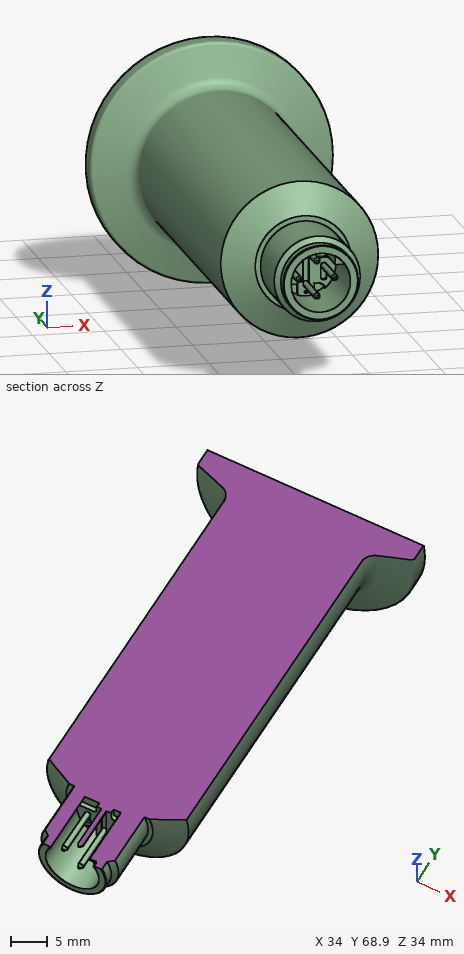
import cadquery as cq
import math

length = 68.9

flange_diameter = 34.0
flange_rim = 2.5
flange_edge_radius = 0.55
flange_back_angle = math.radians(20)
flange_fillet_radius = 2.0

body_diameter = 22.0
shoulder_start = 56.0
shoulder_end = 58.35
shoulder_end_diameter = 13.45

collar_diameter = 12.0
collar_end = 66.7
tip_diameter = 10.5
tip_start = 67.4
tip_chamfer = 0.1

socket_diameter = 8.3
socket_depth = 8.95

pin_count = 4
pin_diameter = 0.8
pin_radius = pin_diameter / 2
pin_tip_diameter = 0.4
pin_taper = 0.4
pin_circle_radius = 2.5
pin_tip_depth = 2.0
pin_embed = 0.7

key_edge = 2.2
key_start_depth = 0.8

pocket_depth = 0.7
floor_bottom = socket_depth + pocket_depth
tongue_width = 2.3
tongue_top = 3.45
tongue_corner_radius = 0.55
lower_pocket_top = -2.4
lower_pocket_outer_x = 2.6
lower_pocket_bevel_width = 0.75
lower_pocket_bevel_height = 0.5
slot_depth = 0.35
center_slot_end = pin_circle_radius + pin_radius
side_slot_bottom = -2.0
vent_diameter = 0.4
vent_z = -3.6


def revolved_body():
    """Solid of revolution about the Y axis, flange face at Y = 0, tip at Y = -length."""
    flange_radius = flange_diameter / 2
    body_radius = body_diameter / 2
    turn = math.pi / 2 - flange_back_angle

    def arc_point(center, radius, angle):
        return (center[0] + radius * math.cos(angle), center[1] - radius * math.sin(angle))

    edge_center = (flange_radius - flange_edge_radius, -flange_rim)
    edge_mid = arc_point(edge_center, flange_edge_radius, turn / 2)
    edge_end = arc_point(edge_center, flange_edge_radius, turn)

    fillet_x = body_radius + flange_fillet_radius
    cone_end_x = fillet_x - flange_fillet_radius * math.cos(turn)
    cone_end_y = edge_end[1] - (edge_end[0] - cone_end_x) * math.tan(flange_back_angle)
    fillet_center = (fillet_x, cone_end_y - flange_fillet_radius * math.sin(turn))
    fillet_mid = arc_point(fillet_center, flange_fillet_radius, math.pi + turn / 2)
    fillet_end = (body_radius, fillet_center[1])

    profile = (
        cq.Workplane("XY")
        .moveTo(0, 0)
        .lineTo(flange_radius, 0)
        .lineTo(flange_radius, -flange_rim)
        .threePointArc(edge_mid, edge_end)
        .lineTo(cone_end_x, cone_end_y)
        .threePointArc(fillet_mid, fillet_end)
        .lineTo(body_radius, -shoulder_start)
        .lineTo(shoulder_end_diameter / 2, -shoulder_end)
        .lineTo(collar_diameter / 2, -shoulder_end)
        .lineTo(collar_diameter / 2, -collar_end)
        .lineTo(tip_diameter / 2, -tip_start)
        .lineTo(tip_diameter / 2, tip_chamfer - length)
        .lineTo(tip_diameter / 2 - tip_chamfer, -length)
        .lineTo(0, -length)
        .close()
    )
    return profile.revolve(360, (0, 0, 0), (0, 1, 0))


def plane_at_depth(depth):
    """Sketch plane inside the socket; X right, Z up, facing out of the opening."""
    return cq.Workplane("XZ", origin=(0, depth - length, 0))


def bore(start_depth, end_depth):
    """Full-width cylinder of the socket between two depths."""
    return plane_at_depth(end_depth).circle(socket_diameter / 2).extrude(end_depth - start_depth)


def upper_pocket():
    """Recess in the upper part of the floor, around the upright tongue."""
    reach = socket_diameter
    band_bottom = tongue_width / 2
    band = (
        plane_at_depth(floor_bottom)
        .rect(reach, reach)
        .extrude(pocket_depth)
        .translate((0, 0, band_bottom + reach / 2))
    )
    tongue_height = tongue_top - band_bottom
    tongue = (
        plane_at_depth(floor_bottom)
        .rect(tongue_width, tongue_height)
        .extrude(pocket_depth)
        .translate((0, 0, band_bottom + tongue_height / 2))
    )
    pocket = band.cut(tongue)
    foot_corners = cq.selectors.BoxSelector(
        (-tongue_width, -length, band_bottom - tongue_corner_radius),
        (tongue_width, 0, band_bottom + tongue_corner_radius),
    )
    pocket = pocket.edges("|Y").edges(foot_corners).fillet(tongue_corner_radius)
    return pocket.intersect(bore(socket_depth, floor_bottom))


def lower_pocket(side):
    """Recess beside the keel at the bottom of the floor; side is -1 or 1."""
    inner_x = tongue_width / 2
    pocket = (
        plane_at_depth(floor_bottom)
        .moveTo(side * inner_x, lower_pocket_top)
        .lineTo(side * (lower_pocket_outer_x - lower_pocket_bevel_width), lower_pocket_top)
        .lineTo(side * lower_pocket_outer_x, lower_pocket_top - lower_pocket_bevel_height)
        .lineTo(side * lower_pocket_outer_x, -socket_diameter / 2)
        .lineTo(side * inner_x, -socket_diameter / 2)
        .close()
        .extrude(pocket_depth)
    )
    return pocket.intersect(bore(socket_depth, floor_bottom))


def upright_slot(x, bottom, top):
    """Round-ended slot in the floor, as wide as a pin."""
    return (
        plane_at_depth(socket_depth + slot_depth)
        .center(x, (bottom + top) / 2)
        .slot2D(top - bottom, pin_diameter, 90)
        .extrude(slot_depth)
    )


def vent():
    """Small blind hole near the bottom of the floor."""
    return (
        plane_at_depth(floor_bottom)
        .center(0, vent_z)
        .circle(vent_diameter / 2)
        .extrude(pocket_depth)
    )


def key():
    """Bar whose inner edge points at the socket axis; it runs down to the pocket floor."""
    reach = socket_diameter / 2 - key_edge
    bar = (
        plane_at_depth(floor_bottom)
        .center(key_edge + reach / 2, key_edge + reach / 2)
        .rect(reach, reach)
        .extrude(floor_bottom - key_start_depth)
    )
    return bar.intersect(bore(0, floor_bottom))


def pins():
    """Contact pins with tapered ends, rooted below the socket floor."""
    base_depth = socket_depth + pin_embed
    return (
        plane_at_depth(base_depth)
        .polarArray(pin_circle_radius, 0, 360, pin_count)
        .circle(pin_radius)
        .extrude(base_depth - pin_tip_depth)
        .faces("<Y")
        .edges()
        .chamfer(pin_taper, pin_radius - pin_tip_diameter / 2)
    )


result = revolved_body().cut(bore(0, socket_depth))
result = result.cut(upper_pocket()).cut(vent())
result = result.cut(upright_slot(0, -center_slot_end, center_slot_end))
for side in (-1, 1):
    result = result.cut(lower_pocket(side))
    result = result.cut(upright_slot(side * pin_circle_radius, side_slot_bottom, pin_radius))
result = result.union(key()).union(pins())